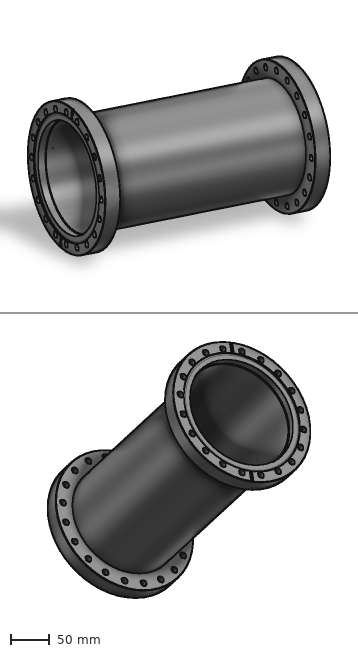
import cadquery as cq

OVERALL_LENGTH = 333.5
FLANGE_DIAMETER = 202.5
FLANGE_THICKNESS = 22.7
EDGE_CHAMFER = 0.7

TUBE_OUTER_DIAMETER = 153.7
TUBE_INNER_DIAMETER = 150.0
TUBE_END_DEPTH = 12.7

BORE_DIAMETER = 151.7
RECESS_DIAMETER = 171.0
RECESS_DEPTH = 2.0
KNIFE_EDGE_DIAMETER = 165.7
KNIFE_EDGE_DEPTH = 1.5

BOLT_COUNT = 20
BOLT_CIRCLE_DIAMETER = 181.0
BOLT_HOLE_DIAMETER = 8.7
GROOVE_WIDTH = 3.0
GROOVE_DEPTH = 1.5
GROOVE_ANGLE = 180 / BOLT_COUNT

FACE_Y = OVERALL_LENGTH / 2
FLANGE_BACK_Y = FACE_Y - FLANGE_THICKNESS
TUBE_END_Y = FACE_Y - TUBE_END_DEPTH
FLANGE_RADIUS = FLANGE_DIAMETER / 2
TUBE_OUTER_RADIUS = TUBE_OUTER_DIAMETER / 2
TUBE_INNER_RADIUS = TUBE_INNER_DIAMETER / 2
BORE_RADIUS = BORE_DIAMETER / 2
RECESS_RADIUS = RECESS_DIAMETER / 2
KNIFE_EDGE_RADIUS = KNIFE_EDGE_DIAMETER / 2
RECESS_FLOOR_Y = FACE_Y - RECESS_DEPTH
KNIFE_EDGE_Y = FACE_Y - KNIFE_EDGE_DEPTH

RIM_PROFILE = [
    (FLANGE_RADIUS - EDGE_CHAMFER, FLANGE_BACK_Y),
    (FLANGE_RADIUS, FLANGE_BACK_Y + EDGE_CHAMFER),
    (FLANGE_RADIUS, FACE_Y - EDGE_CHAMFER),
    (FLANGE_RADIUS - EDGE_CHAMFER, FACE_Y),
    (RECESS_RADIUS, FACE_Y),
]
SEAL_PROFILE = [
    (RECESS_RADIUS, RECESS_FLOOR_Y),
    (KNIFE_EDGE_RADIUS, KNIFE_EDGE_Y),
    (BORE_RADIUS, KNIFE_EDGE_Y),
    (BORE_RADIUS, TUBE_END_Y),
]


def revolve_about_pipe_axis(profile):
    return cq.Workplane("XY").polyline(profile).close().revolve(360, (0, 0, 0), (0, 1, 0))


def mirror_to_other_end(body):
    return body.mirror("XZ")


def cut_bolt_holes(body):
    """Cut the circle of bolt holes through the flange at the +Y end."""
    holes = (
        cq.Workplane("XZ", origin=(0, FACE_Y, 0))
        .polarArray(BOLT_CIRCLE_DIAMETER / 2, 0, 360, BOLT_COUNT)
        .circle(BOLT_HOLE_DIAMETER / 2)
        .extrude(FLANGE_THICKNESS)
    )
    return body.cut(holes)


def cut_leak_check_grooves(body):
    """Cut two opposite radial grooves from the recess to the rim in the +Y face."""
    groove_start = (RECESS_RADIUS + KNIFE_EDGE_RADIUS) / 2
    groove_length = FLANGE_RADIUS - groove_start
    groove_centre = (FLANGE_RADIUS + groove_start) / 2
    groove = cq.Workplane("XY").box(GROOVE_WIDTH, 2 * GROOVE_DEPTH, groove_length)
    groove = groove.translate((0, FACE_Y, groove_centre))
    for angle in (GROOVE_ANGLE, GROOVE_ANGLE + 180):
        body = body.cut(groove.rotate((0, 0, 0), (0, 1, 0), angle))
    return body


def finish_flange(blank):
    return cut_leak_check_grooves(cut_bolt_holes(blank))


def make_tube():
    tube_profile = [
        (TUBE_INNER_RADIUS, -TUBE_END_Y),
        (TUBE_OUTER_RADIUS, -TUBE_END_Y),
        (TUBE_OUTER_RADIUS, TUBE_END_Y),
        (TUBE_INNER_RADIUS, TUBE_END_Y),
    ]
    return revolve_about_pipe_axis(tube_profile)


def make_fixed_flange():
    """One-piece flange at the -Y end, with a socket at its back for the tube."""
    socket = [(TUBE_OUTER_RADIUS, TUBE_END_Y), (TUBE_OUTER_RADIUS, FLANGE_BACK_Y)]
    blank = revolve_about_pipe_axis(RIM_PROFILE + SEAL_PROFILE + socket)
    return mirror_to_other_end(finish_flange(blank))


def make_seal_insert():
    """Inner ring of the rotatable flange, which butts on the +Y end of the tube."""
    return revolve_about_pipe_axis(SEAL_PROFILE + [(RECESS_RADIUS, TUBE_END_Y)])


def make_rotatable_ring():
    """Outer ring of the rotatable flange, stepped over the insert and the tube."""
    step = [
        (RECESS_RADIUS, TUBE_END_Y),
        (TUBE_OUTER_RADIUS, TUBE_END_Y),
        (TUBE_OUTER_RADIUS, FLANGE_BACK_Y),
    ]
    return finish_flange(revolve_about_pipe_axis(RIM_PROFILE + step))


tube = make_tube()
fixed_flange = make_fixed_flange()
seal_insert = make_seal_insert()
rotatable_ring = make_rotatable_ring()

result = cq.Compound.makeCompound(
    [tube.val(), fixed_flange.val(), seal_insert.val(), rotatable_ring.val()]
)